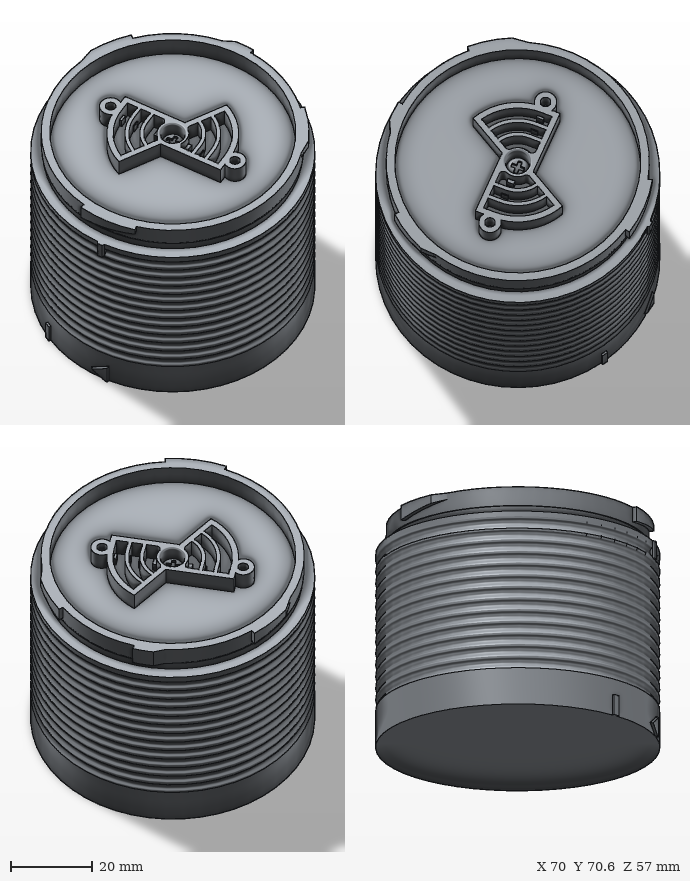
import cadquery as cq
import math

BODY_R = 35.0
BASE_TOP = 9.4
LENS_TOP = 49.85
KEY_PROUD = 0.55
KEY_R = BODY_R + KEY_PROUD
MARK_ROOT = 1.4

COLLAR_H = 1.4
RIB_COUNT = 13
RIB_SLOPE = math.radians(50)
CREST_R = 0.8
RIB_PITCH = (LENS_TOP - COLLAR_H - BASE_TOP) / RIB_COUNT
GROOVE_R = RIB_PITCH / 2 / math.sin(RIB_SLOPE) - CREST_R
RIB_DEPTH = (CREST_R + GROOVE_R) * (1 - math.cos(RIB_SLOPE))

LENS_KEY_H = COLLAR_H + RIB_PITCH
LENS_KEY_ROOT_W = 2.0
LENS_KEY_TIP_W = 1.3

BASE_RIB_W = 1.55
BASE_RIB_H = 5.2
BASE_RIB_ANGLE = 240
ARROW_TIP_X = -2.75
ARROW_BACK_X = 2.25
ARROW_MID_Z = 2.3
ARROW_HALF_H = 3.1
ARROW_DRAFT = 25

CAP_TOP = 57.0
NECK_R = 32.1
RIM_R = 32.4
RIM_BOTTOM = 52.1
RIM_INNER_R = 30.25
FLOOR_Z = 51.8

LUG_R = 33.5
LUG_SWEEP = 26.4
LUG_FLAT_SWEEP = 19.4
LUG_LOW_Z = 53.2
LUG_HIGH_Z = 55.35
FRONT_LUG_START = -102.2
LEFT_LUG_START = 138
RIGHT_LUG_START = 44.5
STOP_START = 84
STOP_SWEEP = 14
STOP_FLAT_SWEEP = 9

BLOCK_TOP = 56.5
BLOCK_H = BLOCK_TOP - FLOOR_Z
BLOCK_R = 16.2
BLOCK_HALF_W = 4.5
WALL = 1.55
LOBE_ANGLE = 60
HUB_R = 3.95
HUB_FILLET = 1.05
BORE_R = 2.95
BORE_ROUND = 0.6
HUB_SLOT_OUTER_R = 7.1
MID_SLOT_INNER_R = 8.1
MID_SLOT_OUTER_R = 10.8
OUTER_SLOT_INNER_R = 11.8
OUTER_SLOT_OUTER_R = BLOCK_R - WALL
OUTER_SLOT_BANDS = [
    (MID_SLOT_INNER_R, MID_SLOT_OUTER_R),
    (OUTER_SLOT_INNER_R, OUTER_SLOT_OUTER_R),
]
EAR_X = 17.7
EAR_R = 2.75
EAR_HOLE_R = 1.3
PAD_W = 1.8
PAD_H = 2.1
PAD_ROOT = 0.35
HUB_PAD_T = 0.9
MID_PAD_T = 0.3
OUTER_PAD_T = 0.6
PAD_BANDS = [
    (HUB_R - PAD_ROOT, HUB_R + HUB_PAD_T),
    (MID_SLOT_INNER_R - PAD_ROOT, MID_SLOT_INNER_R + MID_PAD_T),
    (MID_SLOT_OUTER_R - MID_PAD_T, MID_SLOT_OUTER_R + PAD_ROOT),
    (OUTER_SLOT_OUTER_R - OUTER_PAD_T, OUTER_SLOT_OUTER_R + PAD_ROOT),
]

HEAD_TOP = 53.6
HEAD_SHOULDER = 52.4
HEAD_FLAT_R = 1.7
HEAD_BULGE = 0.25
RECESS_W = 1.0
RECESS_DEPTH = 0.7


def polar(radius, degrees):
    angle = math.radians(degrees)
    return (radius * math.cos(angle), radius * math.sin(angle))


def disc(radius, z_low, z_high):
    return cq.Workplane("XY").workplane(offset=z_low).circle(radius).extrude(z_high - z_low)


def make_base():
    base = disc(BODY_R, 0, BASE_TOP)
    rib = (
        cq.Workplane("XY")
        .box(MARK_ROOT + KEY_PROUD, BASE_RIB_W, BASE_RIB_H, centered=(False, True, False))
        .translate((BODY_R - MARK_ROOT, 0, 0))
        .rotate((0, 0, 0), (0, 0, 1), BASE_RIB_ANGLE)
    )
    arrow = (
        cq.Workplane("XZ", origin=(0, -BODY_R, 0))
        .moveTo(ARROW_TIP_X, ARROW_MID_Z)
        .lineTo(ARROW_BACK_X, ARROW_MID_Z - ARROW_HALF_H)
        .lineTo(ARROW_BACK_X, ARROW_MID_Z + ARROW_HALF_H)
        .close()
        .extrude(KEY_PROUD, taper=ARROW_DRAFT)
    )
    arrow = arrow.faces(">Y").wires().toPending().workplane().extrude(MARK_ROOT)
    return base.union(rib).union(arrow.intersect(disc(2 * BODY_R, 0, BASE_TOP)))


def make_lens():
    flank_r = BODY_R - CREST_R * (1 - math.cos(RIB_SLOPE))
    flank_rise = CREST_R * math.sin(RIB_SLOPE)
    crest_mid_r = BODY_R - CREST_R * (1 - math.cos(RIB_SLOPE / 2))
    crest_mid_rise = CREST_R * math.sin(RIB_SLOPE / 2)
    profile = cq.Workplane("XZ").moveTo(0, BASE_TOP).lineTo(BODY_R, BASE_TOP)
    for rib in range(RIB_COUNT):
        low = BASE_TOP + rib * RIB_PITCH
        high = low + RIB_PITCH
        groove_bottom = (BODY_R - RIB_DEPTH, low + RIB_PITCH / 2)
        profile = (
            profile
            .threePointArc((crest_mid_r, low + crest_mid_rise), (flank_r, low + flank_rise))
            .threePointArc(groove_bottom, (flank_r, high - flank_rise))
            .threePointArc((crest_mid_r, high - crest_mid_rise), (BODY_R, high))
        )
    lens = profile.lineTo(BODY_R, LENS_TOP).lineTo(0, LENS_TOP).close().revolve(360, (0, 0), (0, 1))

    key = (
        cq.Workplane("XY", origin=(0, 0, LENS_TOP))
        .moveTo(-LENS_KEY_ROOT_W / 2, MARK_ROOT - BODY_R)
        .lineTo(-LENS_KEY_ROOT_W / 2, -BODY_R)
        .lineTo(-LENS_KEY_TIP_W / 2, -KEY_R)
        .lineTo(LENS_KEY_TIP_W / 2, -KEY_R)
        .lineTo(LENS_KEY_ROOT_W / 2, -BODY_R)
        .lineTo(LENS_KEY_ROOT_W / 2, MARK_ROOT - BODY_R)
        .close()
        .extrude(-LENS_KEY_H)
    )
    return lens.union(key.cut(lens))


def lug_plate(flat_sweep, sweep):
    """Full-height lug starting with a step at angle 0 and ramping back to the rim at `sweep`."""
    root_r = (RIM_R + RIM_INNER_R) / 2
    plate = (
        cq.Workplane("XY", origin=(0, 0, RIM_BOTTOM))
        .moveTo(root_r, 0)
        .lineTo(LUG_R, 0)
        .threePointArc(polar(LUG_R, flat_sweep / 2), polar(LUG_R, flat_sweep))
    )
    if flat_sweep < sweep:
        plate = plate.lineTo(*polar(RIM_R, sweep))
    return (
        plate.lineTo(*polar(root_r, sweep))
        .threePointArc(polar(root_r, sweep / 2), (root_r, 0))
        .close()
        .extrude(CAP_TOP - RIM_BOTTOM)
    )


def bayonet_lug(flat_sweep):
    """Lug whose underside climbs from the stepped end to the far end."""
    half_chord = LUG_R * math.sin(math.radians(LUG_SWEEP / 2))
    margin = 0.7
    climb = (LUG_HIGH_Z - LUG_LOW_Z) / (2 * half_chord) * margin
    under = (
        cq.Workplane("YZ")
        .moveTo(-half_chord - margin, LENS_TOP)
        .lineTo(half_chord + margin, LENS_TOP)
        .lineTo(half_chord + margin, LUG_HIGH_Z + climb)
        .lineTo(-half_chord - margin, LUG_LOW_Z - climb)
        .close()
        .extrude(LUG_R)
        .rotate((0, 0, 0), (0, 0, 1), LUG_SWEEP / 2)
    )
    return lug_plate(flat_sweep, LUG_SWEEP).cut(under)


def make_cap():
    cap = disc(NECK_R, LENS_TOP, RIM_BOTTOM).union(disc(RIM_R, RIM_BOTTOM, CAP_TOP))
    axis = ((0, 0, 0), (0, 0, 1))
    ramped = bayonet_lug(LUG_FLAT_SWEEP)
    lugs = [
        bayonet_lug(LUG_SWEEP).rotate(*axis, FRONT_LUG_START),
        ramped.rotate(*axis, LEFT_LUG_START),
        ramped.mirror("XZ").rotate(*axis, RIGHT_LUG_START),
        lug_plate(STOP_FLAT_SWEEP, STOP_SWEEP).rotate(*axis, STOP_START),
    ]
    for lug in lugs:
        cap = cap.union(lug)
    return cap.cut(disc(RIM_INNER_R, FLOOR_Z, CAP_TOP))


def block_outline():
    sin_lobe = math.sin(math.radians(LOBE_ANGLE))
    cos_lobe = math.cos(math.radians(LOBE_ANGLE))
    inner_x = BLOCK_HALF_W * cos_lobe / sin_lobe - WALL / sin_lobe
    tip_angle = LOBE_ANGLE + math.degrees(math.asin(WALL / BLOCK_R))
    tip = polar(BLOCK_R, tip_angle)
    bulge = polar(BLOCK_R, tip_angle / 2)
    return (
        cq.Workplane("XY", origin=(0, 0, FLOOR_Z))
        .moveTo(-BLOCK_R, BLOCK_HALF_W)
        .lineTo(inner_x, BLOCK_HALF_W)
        .lineTo(*tip)
        .threePointArc(bulge, (BLOCK_R, 0))
        .lineTo(BLOCK_R, -BLOCK_HALF_W)
        .lineTo(-inner_x, -BLOCK_HALF_W)
        .lineTo(-tip[0], -tip[1])
        .threePointArc((-bulge[0], -bulge[1]), (-BLOCK_R, 0))
        .close()
    )


def slot(inner_r, outer_r):
    """Slot curved over the lobe angle, with a straight end beyond the X axis."""
    end_y = WALL - BLOCK_HALF_W
    return (
        cq.Workplane("XY", origin=(0, 0, FLOOR_Z))
        .moveTo(inner_r, end_y)
        .lineTo(outer_r, end_y)
        .lineTo(outer_r, 0)
        .threePointArc(polar(outer_r, LOBE_ANGLE / 2), polar(outer_r, LOBE_ANGLE))
        .lineTo(*polar(inner_r, LOBE_ANGLE))
        .threePointArc(polar(inner_r, LOBE_ANGLE / 2), (inner_r, 0))
        .close()
        .extrude(BLOCK_H)
    )


def hub_slot():
    """Innermost slot, ending on the round hub with filleted corners."""
    inside_hub_r = HUB_R / 2
    pocket = slot(inside_hub_r, HUB_SLOT_OUTER_R).cut(disc(HUB_R, FLOOR_Z, BLOCK_TOP))
    corners = [
        edge for edge in pocket.edges("|Z").vals()
        if math.hypot(edge.Center().x, edge.Center().y) < HUB_R + HUB_FILLET
    ]
    return pocket.newObject(corners).fillet(HUB_FILLET)


def pad(inner_r, outer_r):
    """Low pad standing on the floor against a slot wall."""
    return (
        cq.Workplane("XY", origin=(inner_r, 0, FLOOR_Z))
        .box(outer_r - inner_r, PAD_W, PAD_H, centered=(False, True, False))
    )


def make_block():
    block = block_outline().extrude(BLOCK_H)
    slots = [hub_slot()] + [slot(*band) for band in OUTER_SLOT_BANDS]
    pads = [pad(*band) for band in PAD_BANDS]
    ear = disc(EAR_R, FLOOR_Z, BLOCK_TOP).translate((EAR_X, 0, 0))
    ear_hole = disc(EAR_HOLE_R, FLOOR_Z, BLOCK_TOP).translate((EAR_X, 0, 0))
    for turn in (0, 180):
        block = block.union(ear.rotate((0, 0, 0), (0, 0, 1), turn))
        for removed in slots + [ear_hole]:
            block = block.cut(removed.rotate((0, 0, 0), (0, 0, 1), turn))
        for added in pads:
            block = block.union(added.rotate((0, 0, 0), (0, 0, 1), turn))
    bore = (
        cq.Workplane("XZ")
        .moveTo(0, FLOOR_Z)
        .lineTo(BORE_R, FLOOR_Z)
        .lineTo(BORE_R, BLOCK_TOP - BORE_ROUND)
        .radiusArc((BORE_R + BORE_ROUND, BLOCK_TOP), BORE_ROUND)
        .lineTo(0, BLOCK_TOP)
        .close()
        .revolve(360, (0, 0), (0, 1))
    )
    return block.cut(bore)


def make_screw():
    edge_mid_r = (BORE_R + HEAD_FLAT_R) / 2 + HEAD_BULGE
    edge_mid_z = (HEAD_TOP + HEAD_SHOULDER) / 2 + HEAD_BULGE
    head = (
        cq.Workplane("XZ")
        .moveTo(0, FLOOR_Z)
        .lineTo(BORE_R, FLOOR_Z)
        .lineTo(BORE_R, HEAD_SHOULDER)
        .threePointArc((edge_mid_r, edge_mid_z), (HEAD_FLAT_R, HEAD_TOP))
        .lineTo(0, HEAD_TOP)
        .close()
        .revolve(360, (0, 0), (0, 1))
    )
    recess_z = HEAD_TOP - RECESS_DEPTH
    recess_plane = cq.Workplane("XY", origin=(0, 0, recess_z))
    arm_x = recess_plane.rect(2 * HEAD_FLAT_R, RECESS_W).extrude(RECESS_DEPTH)
    arm_y = recess_plane.rect(RECESS_W, 2 * HEAD_FLAT_R).extrude(RECESS_DEPTH)
    recess = arm_x.union(arm_y).intersect(disc(HEAD_FLAT_R, recess_z, HEAD_TOP))
    return head.cut(recess)


base = make_base()
lens = make_lens()
cap = make_cap()
block = make_block()
screw = make_screw()

result = cq.Compound.makeCompound([body.solids().val() for body in (base, lens, cap, block, screw)])